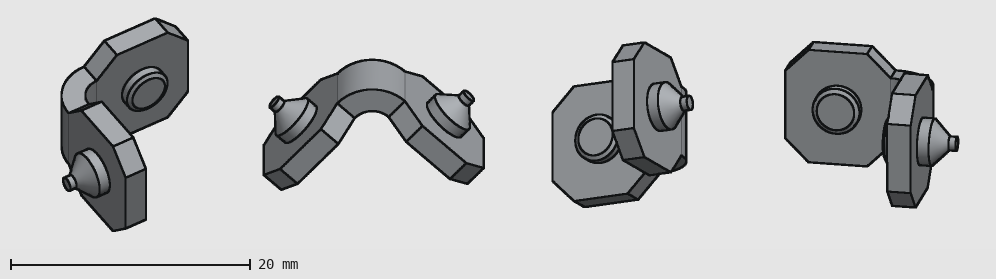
import cadquery as cq

OVERALL_LENGTH = 16.0
BRACKET_HEIGHT = 10.0
THICKNESS = 2.0
CORNER_CUT = THICKNESS
INNER_BEND_RADIUS = 2.0
OUTER_BEND_RADIUS = INNER_BEND_RADIUS + THICKNESS

PIN_RADIUS = 2.0
TIP_RADIUS = 1.2 / 2
TIP_LENGTH = 0.6
SHOULDER_LENGTH = THICKNESS / 2
BACK_LENGTH = THICKNESS / 2
BACK_CHAMFER_WIDTH = 0.4
BACK_CHAMFER_DEPTH = 0.22
PIN_PROJECTION = 1.5 * THICKNESS

LEG_LENGTH = OVERALL_LENGTH - PIN_PROJECTION
FLANGE_LENGTH = LEG_LENGTH - OUTER_BEND_RADIUS
PIN_OFFSET = OUTER_BEND_RADIUS + FLANGE_LENGTH / 2
STRIP_HEIGHT = BRACKET_HEIGHT - 2 * CORNER_CUT

FRONT_PLANE = cq.Plane(origin=(PIN_OFFSET, 0, 0), xDir=(1, 0, 0), normal=(0, -1, 0))
SIDE_PLANE = cq.Plane(origin=(0, PIN_OFFSET, 0), xDir=(0, 1, 0), normal=(-1, 0, 0))
PIN_PLANES = [FRONT_PLANE, SIDE_PLANE]


def make_flange(plane):
    """Octagonal plate extending inward from the outer face."""
    return (
        cq.Workplane(plane)
        .rect(FLANGE_LENGTH, BRACKET_HEIGHT)
        .extrude(-THICKNESS)
        .edges(cq.selectors.ParallelDirSelector(plane.zDir))
        .chamfer(CORNER_CUT)
    )


def make_bend():
    """Quarter-ring strip joining the two flanges."""
    return (
        cq.Workplane("XY")
        .center(OUTER_BEND_RADIUS, OUTER_BEND_RADIUS)
        .circle(OUTER_BEND_RADIUS)
        .circle(INNER_BEND_RADIUS)
        .extrude(STRIP_HEIGHT / 2, both=True)
        .intersect(
            cq.Workplane("XY")
            .rect(OUTER_BEND_RADIUS, OUTER_BEND_RADIUS, centered=False)
            .extrude(STRIP_HEIGHT / 2, both=True)
        )
    )


def make_pin_hole(plane):
    """Cylinder that cuts a pin's close-fitting hole through a flange."""
    return cq.Workplane(plane).circle(PIN_RADIUS).extrude(-THICKNESS)


def make_bracket():
    bracket = make_bend()
    for plane in PIN_PLANES:
        bracket = bracket.union(make_flange(plane))
    for plane in PIN_PLANES:
        bracket = bracket.cut(make_pin_hole(plane))
    return bracket


def make_pin(plane):
    """Turned pin with a chamfered back, conical nose and small cylindrical tip."""
    back = -THICKNESS - BACK_LENGTH
    half_profile = [
        (0, back),
        (PIN_RADIUS - BACK_CHAMFER_WIDTH, back),
        (PIN_RADIUS, back + BACK_CHAMFER_DEPTH),
        (PIN_RADIUS, SHOULDER_LENGTH),
        (TIP_RADIUS, PIN_PROJECTION - TIP_LENGTH),
        (TIP_RADIUS, PIN_PROJECTION),
        (0, PIN_PROJECTION),
    ]
    profile_plane = cq.Plane(origin=plane.origin, xDir=plane.xDir, normal=-plane.yDir)
    return (
        cq.Workplane(profile_plane)
        .polyline(half_profile)
        .close()
        .revolve(360, (0, 0), (0, 1))
    )


bracket = make_bracket()
pins = [make_pin(plane) for plane in PIN_PLANES]
result = cq.Compound.makeCompound([bracket.val(), *[pin.val() for pin in pins]])